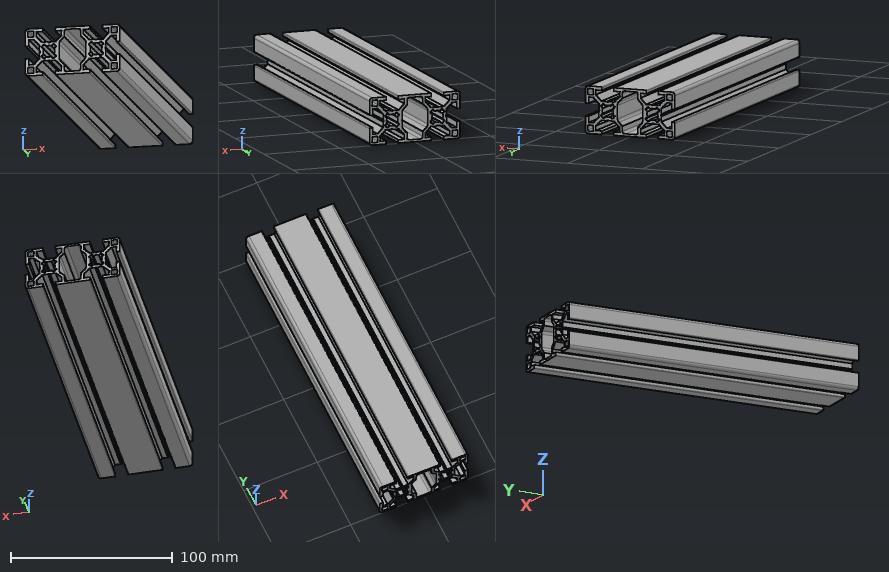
import cadquery as cq
import math

length = 200.0
height = 30.0
module_count = 2
width = module_count * height
corner_radius = 2.0

half_height = height / 2
module_offset = width / 2 - half_height

slot_opening = 8.0
lip_thickness = 2.2
lip_rounding = 0.5
slot_inner_width = 16.0
core_width = 12.0
slot_floor_width = 8.5

groove_width = 1.5
groove_depth = 0.3

bore_diameter = 7.5
lobe_width = 2.5
lobe_length = 10.8

thin_wall = 1.5
corner_hollow_end = 5.5
corner_hollow_radius = 0.8

cavity_width = 10.5
cavity_waist_width = 17.0
diagonal_web = 2.0
cavity_corner_radius = 1.5
cavity_waist_radius = 3.0


def extrude(sketch):
    """Extrude a closed outline on the XZ plane over the full length, centred on Y."""
    return sketch.extrude(length / 2, both=True)


def slot_cutter():
    """T-slot opening upward, for a module centred on the origin."""
    throat = slot_opening / 2
    wall = slot_inner_width / 2
    floor = slot_floor_width / 2
    floor_z = core_width / 2
    under_lip_z = half_height - lip_thickness
    flank_top_z = floor_z + wall - floor
    right_side = [
        (throat, half_height - lip_rounding),
        (throat, under_lip_z),
        (wall, under_lip_z),
        (wall, flank_top_z),
        (floor, floor_z),
        (groove_width / 2, floor_z),
    ]
    left_side = [(-x, z) for x, z in reversed(right_side)]
    groove_bottom = (0, floor_z - groove_depth)
    outline = cq.Workplane("XZ").polyline(right_side + [groove_bottom] + left_side)
    outline = outline.radiusArc((-throat - lip_rounding, half_height), -lip_rounding)
    outline = outline.lineTo(throat + lip_rounding, half_height)
    outline = outline.radiusArc((throat, half_height - lip_rounding), -lip_rounding)
    return extrude(outline.close())


def core_hole_cutter():
    """Round bore with diagonal lobes, centred on the origin."""
    hole = extrude(cq.Workplane("XZ").circle(bore_diameter / 2))
    lobe = cq.Workplane("XY").box(lobe_length, length, lobe_width)
    for angle in (45, -45):
        hole = hole.union(lobe.rotate((0, 0, 0), (0, 1, 0), angle))
    return hole


def corner_hollow_cutter():
    """Square hollow of the upper right corner, with rounded edges."""
    size = corner_hollow_end - thin_wall
    center_inset = thin_wall + size / 2
    hollow = cq.Workplane("XY").box(size, length, size)
    hollow = hollow.edges("|Y").fillet(corner_hollow_radius)
    return hollow.translate((width / 2 - center_inset, 0, half_height - center_inset))


def cavity_cutter():
    """Central cavity, widening to a waist between the two cores."""
    half_width = cavity_width / 2
    half_waist = cavity_waist_width / 2
    top_z = half_height - thin_wall
    slot_flank_sum = module_offset - slot_floor_width / 2 + core_width / 2
    cavity_flank_sum = slot_flank_sum - diagonal_web * math.sqrt(2)
    upper_right = [
        (half_width, top_z),
        (half_width, cavity_flank_sum - half_width),
        (half_waist, cavity_flank_sum - half_waist),
    ]
    lower_right = [(x, -z) for x, z in reversed(upper_right)]
    right_side = upper_right + lower_right
    left_side = [(-x, z) for x, z in reversed(right_side)]
    cavity = extrude(cq.Workplane("XZ").polyline(right_side + left_side).close())
    cavity = cavity.edges("|Y and (>Z or <Z)").fillet(cavity_corner_radius)
    return cavity.edges("|Y and (>X or <X)").fillet(cavity_waist_radius)


result = cq.Workplane("XY").box(width, length, height).edges("|Y").fillet(corner_radius)
result = result.cut(cavity_cutter())

slot = slot_cutter()
core_hole = core_hole_cutter()
for side in (1, -1):
    module_center = (side * module_offset, 0, 0)
    result = result.cut(core_hole.translate(module_center))
    for angle in (0, 180, side * 90):
        turned_slot = slot.rotate((0, 0, 0), (0, 1, 0), angle)
        result = result.cut(turned_slot.translate(module_center))

corner_hollow = corner_hollow_cutter()
for angle in (0, 180):
    hollow = corner_hollow.rotate((0, 0, 0), (0, 1, 0), angle)
    result = result.cut(hollow).cut(hollow.mirror("XY"))